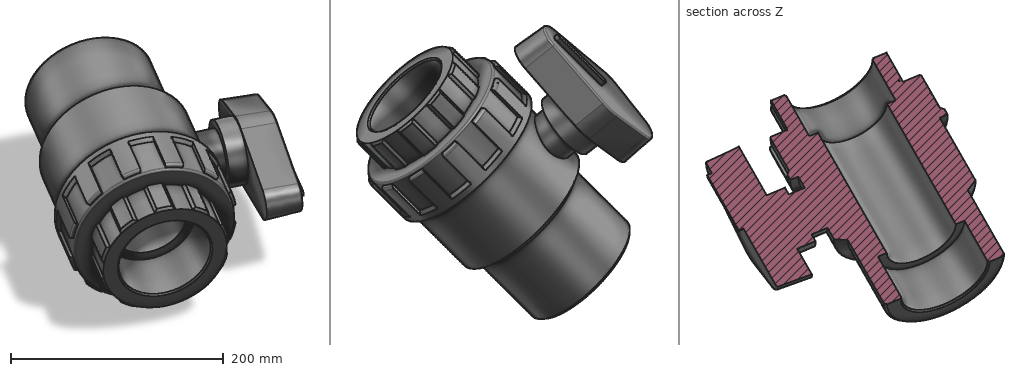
import cadquery as cq
import math

LENGTH = 250.0
OVERLAP = 1.0

END_RADIUS = 126.0 / 2
END_CHAMFER = 2.4
BODY_RADIUS = 148.5 / 2
BODY_START = 80.0
BODY_CONE_ANGLE = 30.0
BORE_RADIUS = 72.0 / 2
SOCKET_RADIUS = 90.0 / 2
SOCKET_DEPTH = 51.0
SOCKET_CHAMFER = 1.6

NUT_START = 163.0
NUT_END = 214.3
NUT_RADIUS = 165.0 / 2
NUT_CORE_RADIUS = 158.4 / 2
NUT_LOBE_END = 211.2
NUT_END_FILLET = 2.0
POCKET_COUNT = 12
POCKET_WIDTH = 24.3
POCKET_START = 169.8
POCKET_RAMP_LENGTH = 3.6

GROOVE_COUNT = 10
GROOVE_FLOOR_RADIUS = END_RADIUS - END_CHAMFER
GROOVE_FLOOR_WIDTH = 17.7
GROOVE_MOUTH_WIDTH = 24.4

STEM_X = LENGTH / 2
STEM_RADIUS = 49.5 / 2
COLLAR_RADIUS = 66.0 / 2
COLLAR_START = 90.4

HANDLE_START = 109.5
HANDLE_TOP = 145.6
HANDLE_TAPER = 2.7
HANDLE_FILLET = 1.8
HUB_RADIUS = 34.8
TIP_RADIUS = 18.5
SHORT_ARM = 45.8
LONG_ARM = 74.1

BAR_TOP = 150.38
BAR_WIDTH = 6.2
BAR_START = 134.3
BAR_END = 202.4


def revolve_about_x(outline):
    """Revolve a closed XY outline around the X axis."""
    return outline.close().revolve(360, (0, 0, 0), (1, 0, 0))


def turn_about_x(shape, index, count):
    """Turn a shape to one of `count` even steps around the X axis."""
    return shape.rotate((0, 0, 0), (1, 0, 0), index * 360.0 / count)


def cylinder_along_y(radius, start, end):
    """Cylinder on the stem axis, from y = start to y = end."""
    return (
        cq.Workplane("XZ", origin=(STEM_X, start, 0))
        .circle(radius)
        .extrude(start - end)
    )


def make_body():
    cone_length = (BODY_RADIUS - END_RADIUS) * math.tan(math.radians(BODY_CONE_ANGLE))
    body_end = NUT_START + OVERLAP
    outline = cq.Workplane("XY").polyline([
        (0, 0),
        (0, END_RADIUS - END_CHAMFER),
        (END_CHAMFER, END_RADIUS),
        (BODY_START, END_RADIUS),
        (BODY_START + cone_length, BODY_RADIUS),
        (body_end, BODY_RADIUS),
        (body_end, 0),
    ])
    return revolve_about_x(outline)


def make_nut():
    """Union nut: a round core with raised lobes left between the pockets."""
    lobe_fillet = NUT_RADIUS - NUT_CORE_RADIUS
    outline = (
        cq.Workplane("XY")
        .moveTo(NUT_START, 0)
        .lineTo(NUT_START, NUT_RADIUS)
        .lineTo(NUT_LOBE_END - lobe_fillet, NUT_RADIUS)
        .radiusArc((NUT_LOBE_END, NUT_CORE_RADIUS), lobe_fillet)
        .lineTo(NUT_END - NUT_END_FILLET, NUT_CORE_RADIUS)
        .radiusArc((NUT_END, NUT_CORE_RADIUS - NUT_END_FILLET), NUT_END_FILLET)
        .lineTo(NUT_END, 0)
    )
    nut = revolve_about_x(outline)
    pocket = make_nut_pocket()
    for index in range(POCKET_COUNT):
        nut = nut.cut(turn_about_x(pocket, index, POCKET_COUNT))
    return nut


def make_nut_pocket():
    """Cutter for the pocket facing -Y: flat side walls, a round floor and a ramped end."""
    outer_radius = NUT_RADIUS + OVERLAP
    ring = revolve_about_x(cq.Workplane("XY").polyline([
        (POCKET_START, outer_radius),
        (POCKET_START, NUT_RADIUS),
        (POCKET_START + POCKET_RAMP_LENGTH, NUT_CORE_RADIUS),
        (NUT_END, NUT_CORE_RADIUS),
        (NUT_END, outer_radius),
    ]))
    sector = (
        cq.Workplane("XZ")
        .center((POCKET_START + NUT_END) / 2, 0)
        .rect(NUT_END - POCKET_START, POCKET_WIDTH)
        .extrude(outer_radius)
    )
    return ring.intersect(sector)


def make_outlet():
    """Outlet end: a chamfered round end with grooves along its length."""
    outline = cq.Workplane("XY").polyline([
        (NUT_END - OVERLAP, 0),
        (NUT_END - OVERLAP, END_RADIUS),
        (LENGTH - END_CHAMFER, END_RADIUS),
        (LENGTH, END_RADIUS - END_CHAMFER),
        (LENGTH, 0),
    ])
    outlet = revolve_about_x(outline)
    groove = make_outlet_groove()
    for index in range(GROOVE_COUNT):
        outlet = outlet.cut(turn_about_x(groove, index, GROOVE_COUNT))
    return outlet


def make_outlet_groove():
    """Cutter for the groove facing -Y: flaring side walls and a round floor."""
    half_floor = GROOVE_FLOOR_WIDTH / 2
    half_mouth = GROOVE_MOUTH_WIDTH / 2
    floor_y = -math.sqrt(GROOVE_FLOOR_RADIUS ** 2 - half_floor ** 2)
    mouth_y = -math.sqrt(END_RADIUS ** 2 - half_mouth ** 2)
    clear_y = -END_RADIUS - OVERLAP
    return (
        cq.Workplane("YZ", origin=(NUT_END, 0, 0))
        .moveTo(floor_y, -half_floor)
        .threePointArc((-GROOVE_FLOOR_RADIUS, 0), (floor_y, half_floor))
        .lineTo(mouth_y, half_mouth)
        .lineTo(clear_y, half_mouth)
        .lineTo(clear_y, -half_mouth)
        .lineTo(mouth_y, -half_mouth)
        .close()
        .extrude(LENGTH - NUT_END)
    )


def make_handle():
    short_lean = (HUB_RADIUS - TIP_RADIUS) / SHORT_ARM
    short_rise = math.sqrt(1 - short_lean ** 2)
    long_lean = (HUB_RADIUS - TIP_RADIUS) / LONG_ARM
    long_rise = math.sqrt(1 - long_lean ** 2)

    short_tip = (-SHORT_ARM - TIP_RADIUS * short_lean, TIP_RADIUS * short_rise)
    short_hub = (-HUB_RADIUS * short_lean, HUB_RADIUS * short_rise)
    long_hub = (HUB_RADIUS * long_lean, HUB_RADIUS * long_rise)
    long_tip = (LONG_ARM + TIP_RADIUS * long_lean, TIP_RADIUS * long_rise)

    plane = cq.Plane(origin=(STEM_X, HANDLE_START, 0), xDir=(1, 0, 0), normal=(0, 1, 0))
    return (
        cq.Workplane(plane)
        .moveTo(*short_tip)
        .lineTo(*short_hub)
        .threePointArc((0, HUB_RADIUS), long_hub)
        .lineTo(*long_tip)
        .threePointArc((LONG_ARM + TIP_RADIUS, 0), (long_tip[0], -long_tip[1]))
        .lineTo(long_hub[0], -long_hub[1])
        .threePointArc((0, -HUB_RADIUS), (short_hub[0], -short_hub[1]))
        .lineTo(short_tip[0], -short_tip[1])
        .threePointArc((-SHORT_ARM - TIP_RADIUS, 0), short_tip)
        .close()
        .extrude(HANDLE_TOP - HANDLE_START, taper=HANDLE_TAPER)
        .faces(">Y")
        .edges()
        .fillet(HANDLE_FILLET)
    )


def make_indicator_bar():
    bar_base = HANDLE_TOP - OVERLAP
    return (
        cq.Workplane("XZ", origin=((BAR_START + BAR_END) / 2, bar_base, 0))
        .slot2D(BAR_END - BAR_START, BAR_WIDTH)
        .extrude(bar_base - BAR_TOP)
    )


def make_bore():
    """Through bore with a chamfered pipe socket at each end."""
    mouth_radius = SOCKET_RADIUS + SOCKET_CHAMFER
    outline = cq.Workplane("XY").polyline([
        (0, 0),
        (0, mouth_radius),
        (SOCKET_CHAMFER, SOCKET_RADIUS),
        (SOCKET_DEPTH, SOCKET_RADIUS),
        (SOCKET_DEPTH, BORE_RADIUS),
        (LENGTH - SOCKET_DEPTH, BORE_RADIUS),
        (LENGTH - SOCKET_DEPTH, SOCKET_RADIUS),
        (LENGTH - SOCKET_CHAMFER, SOCKET_RADIUS),
        (LENGTH, mouth_radius),
        (LENGTH, 0),
    ])
    return revolve_about_x(outline)


stem = cylinder_along_y(STEM_RADIUS, 0, COLLAR_START + OVERLAP)
collar = cylinder_along_y(COLLAR_RADIUS, COLLAR_START, HANDLE_START + OVERLAP)

result = (
    make_body()
    .union(make_nut())
    .union(make_outlet())
    .union(stem)
    .union(collar)
    .union(make_handle())
    .union(make_indicator_bar())
    .cut(make_bore())
)